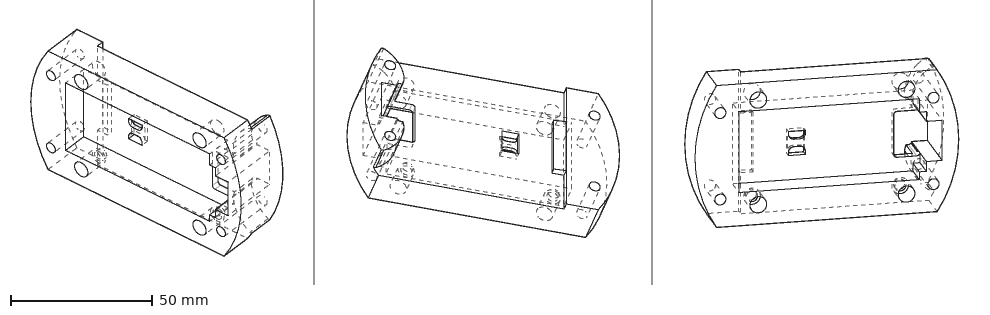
import cadquery as cq

length = 95.85
height = 52.9
flat_length = 80.1
plate_thickness = 13.3
pad_thickness = 16.3
total_depth = 23.5
pad_edge_x = -28.3

lip_end_x = -23.8
lip_start_y = 16.1
lip_end_y = 15.7
lip_height = 22.2

pocket_depth = 10.2
pocket_left = -32.0
pocket_right = 33.5
pocket_top = 16.1
pocket_bottom = -14.0
step_right = 36.1
step_height = 22.2
slot_right = 41.9
slot_height = 15.0

window_left = 26.6
window_height = 17.1
window_radius = 1.15

boss_left = 33.5
boss_nose_z = 10.6
boss_corner_x = 34.2
boss_corner_z = 8.05
boss_flank_middle = (35.6, 17.7)
boss_top_x = 41.1
boss_top_z = 23.2

screw_diameter = 4.0
screw_x = 38.7
screw_z = 16.1
socket_diameter = 6.0
socket_depth = 10.0
pilot_depth = 11.9
socket_left_x = -24.9
socket_right_x = 28.9
socket_top_z = 19.9
socket_bottom_z = -19.1

opening_left = -11.6
opening_right = -5.5
opening_radius = 2.0
upper_opening = (1.0, 3.9)
lower_opening = (-5.0, -1.8)
bar_back = 11.9


def box(x_range, y_range, z_range):
    """Box between pairs of limits."""
    (x0, x1), (y0, y1), (z0, z1) = x_range, y_range, z_range
    return cq.Workplane("XY").box(x1 - x0, y1 - y0, z1 - z0, centered=False).translate((x0, y0, z0))


def rod(x, z, diameter, y_start, y_end):
    """Cylinder along Y."""
    plane = cq.Workplane("XZ", origin=(x, y_start, z))
    return plane.circle(diameter / 2).extrude(y_start - y_end)


def outline(depth):
    """Plate with flat top and bottom and bowed ends."""
    return (
        cq.Workplane("XZ")
        .moveTo(-flat_length / 2, height / 2)
        .lineTo(flat_length / 2, height / 2)
        .threePointArc((length / 2, 0), (flat_length / 2, -height / 2))
        .lineTo(-flat_length / 2, -height / 2)
        .threePointArc((-length / 2, 0), (-flat_length / 2, height / 2))
        .close()
        .extrude(-depth)
    )


def thick_end():
    """Raised left end with its sloped lip."""
    pad = outline(pad_thickness).intersect(
        box((-length / 2, pad_edge_x), (0, pad_thickness), (-height / 2, height / 2))
    )
    lip_profile = [
        (pad_edge_x, 0),
        (pad_edge_x, lip_start_y),
        (lip_end_x, lip_end_y),
        (lip_end_x, 0),
    ]
    lip = cq.Workplane("XY").polyline(lip_profile).close().extrude(lip_height / 2, both=True)
    return pad.union(lip)


def clamp_end():
    """Two mirrored bosses with curved flanks, trimmed to the bowed end."""
    boss = (
        cq.Workplane("XZ")
        .moveTo(step_right, 0)
        .lineTo(step_right, boss_corner_z)
        .lineTo(boss_corner_x, boss_corner_z)
        .lineTo(boss_left, boss_nose_z)
        .threePointArc(boss_flank_middle, (boss_top_x, boss_top_z))
        .lineTo(length / 2, boss_top_z)
        .lineTo(length / 2, 0)
        .close()
        .extrude(-total_depth)
    )
    return boss.union(boss.mirror("XY")).intersect(outline(total_depth))


def pocket():
    """Stepped pocket, the through slot at its right end and the floor window."""
    main = box((pocket_left, pocket_right), (0, pocket_depth), (pocket_bottom, pocket_top))
    step = box((pocket_right, step_right), (0, pocket_depth), (-step_height / 2, step_height / 2))
    slot = box((pocket_right, slot_right), (0, total_depth), (-slot_height / 2, slot_height / 2))
    window = box((window_left, step_right), (0, total_depth), (-window_height / 2, window_height / 2))
    window = window.edges("|Y").fillet(window_radius)
    return main.union(step).union(slot).union(window)


def cable_opening(z_range, rounded_side):
    """Through opening with the corners rounded on one Z side."""
    opening = box((opening_left, opening_right), (0, total_depth), z_range)
    return opening.faces(rounded_side).edges("|Y").fillet(opening_radius)


result = outline(plate_thickness).union(thick_end()).union(clamp_end())
result = result.cut(pocket())
result = result.cut(cable_opening(upper_opening, "<Z"))
result = result.cut(cable_opening(lower_opening, ">Z"))
bar_z_range = (lower_opening[0], upper_opening[1])
result = result.cut(box((opening_left, opening_right), (bar_back, total_depth), bar_z_range))

for x in (-screw_x, screw_x):
    for z in (-screw_z, screw_z):
        result = result.cut(rod(x, z, screw_diameter, 0, total_depth))

for x in (socket_left_x, socket_right_x):
    for z in (socket_bottom_z, socket_top_z):
        result = result.cut(rod(x, z, socket_diameter, 0, socket_depth))
    result = result.cut(rod(x, socket_bottom_z, screw_diameter, 0, pilot_depth))